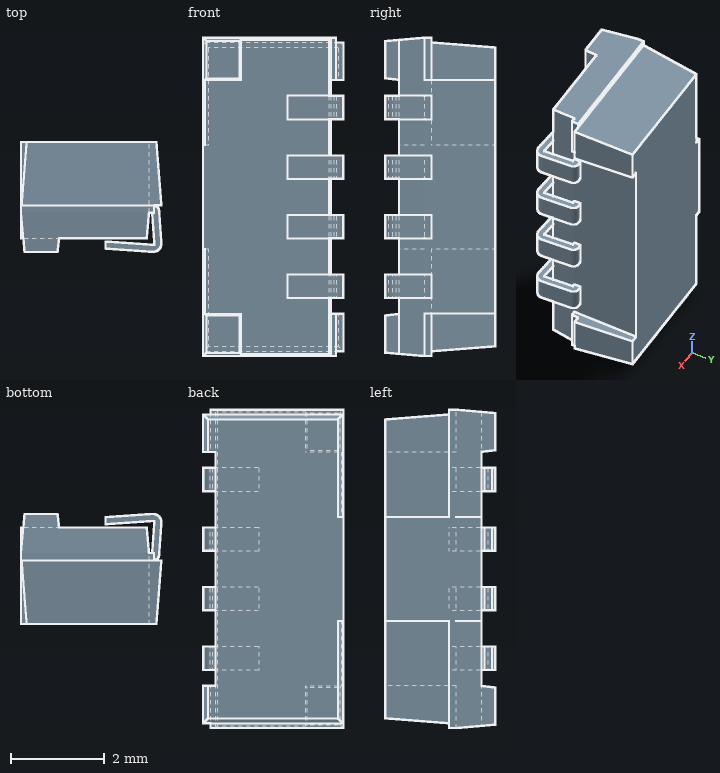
import cadquery as cq
import math

WIDTH = 3.0
DEPTH = 2.35
HEIGHT = 6.8

FACE_Y = 0.29
FLANGE_FRONT_Y = 0.835
FLANGE_BACK_Y = 0.99

FLANGE_RIGHT = 2.84
FRONT_RIGHT = 2.735
BACK_LEFT = 0.015
BACK_STEP = 0.1
DRAFT_BACK = math.tan(math.radians(4.5))
DRAFT_FRONT = math.tan(math.radians(5))
NOTCH_HEIGHT = 4.985
BOSS_HEIGHT = 2.22

FOOT_RIGHT = 0.815
FOOT_INNER_Z = 2.495
FOOT_INNER_DRAFT = 0.035

LEAD_COUNT = 4
LEAD_PITCH = 1.27
LEAD_WIDTH = 0.5
LEAD_THICKNESS = FLANGE_BACK_Y - FLANGE_FRONT_Y
LEAD_TIP_X = 1.8
LEAD_LEAN = math.radians(4)
LEAD_BEND = 0.185
LEAD_SHOULDER = 0.12


def tapered_block(start_y, start, end_y, end):
    """Loft along Y between rectangles given as (left, right, bottom, top)."""
    block = cq.Workplane("XZ", origin=(0, start_y, 0))
    for step, (left, right, bottom, top) in ((0, start), (start_y - end_y, end)):
        block = block.workplane(offset=step)
        block = block.polyline([(left, bottom), (right, bottom), (right, top), (left, top)]).close()
    return block.loft(ruled=True)


def box(left, right, front, back, bottom, top):
    size = (right - left, back - front, top - bottom)
    return cq.Workplane("XY", origin=(left, front, bottom)).box(*size, centered=False)


def front_outline(y):
    """Drafted outline of the front half at depth y."""
    inset = (FLANGE_FRONT_Y - y) * DRAFT_FRONT
    half = HEIGHT / 2 - inset
    return inset, FRONT_RIGHT - inset, -half, half


def make_foot():
    """Upper foot, continuing the draft of the front half."""
    left, _, _, top = front_outline(FACE_Y)
    tip_left, _, _, tip_top = front_outline(0)
    root = (left, FOOT_RIGHT, FOOT_INNER_Z, top)
    tip = (tip_left, FOOT_RIGHT - FOOT_INNER_DRAFT, FOOT_INNER_Z + FOOT_INNER_DRAFT, tip_top)
    return tapered_block(FACE_Y, root, 0, tip)


def make_housing():
    half = HEIGHT / 2
    flange = box(0, FLANGE_RIGHT, FLANGE_FRONT_Y, FLANGE_BACK_Y, -half, half)
    front = tapered_block(FLANGE_FRONT_Y, front_outline(FLANGE_FRONT_Y), FACE_Y, front_outline(FACE_Y))

    back_half = half - BACK_STEP
    inset = (DEPTH - FLANGE_BACK_Y) * DRAFT_BACK
    base = (BACK_LEFT, WIDTH, -back_half, back_half)
    rear = (BACK_LEFT + inset, WIDTH - inset, inset - back_half, back_half - inset)
    back = tapered_block(FLANGE_BACK_Y, base, DEPTH, rear)

    boss = box(0, FRONT_RIGHT / 2, FACE_Y, DEPTH, -BOSS_HEIGHT / 2, BOSS_HEIGHT / 2)
    notch = box(FRONT_RIGHT, WIDTH, 0, DEPTH, -NOTCH_HEIGHT / 2, NOTCH_HEIGHT / 2)
    foot = make_foot()
    housing = flange.union(front).union(back).union(boss)
    return housing.union(foot).union(foot.mirror("XY")).cut(notch)


def make_lead(z):
    """Bent strip: out of the notch wall, forward, then back under the housing."""
    lean = math.tan(LEAD_LEAN)
    leg = LEAD_THICKNESS / math.cos(LEAD_LEAN)
    overshoot = LEAD_BEND / (math.cos(LEAD_LEAN) * (1 - lean)) - LEAD_BEND
    heel_x = WIDTH + overshoot
    heel_y = -overshoot
    shoulder_x = heel_x - (FLANGE_BACK_Y - heel_y) * lean
    inner_shoulder_x = heel_x - leg - (FLANGE_FRONT_Y - heel_y) * lean
    inner_heel_offset = leg / (1 - lean)
    tip_y = heel_y + (heel_x - LEAD_TIP_X) * lean
    points = [
        (FRONT_RIGHT, FLANGE_BACK_Y),
        (FRONT_RIGHT, FLANGE_FRONT_Y),
        (inner_shoulder_x, FLANGE_FRONT_Y),
        (heel_x - inner_heel_offset, heel_y + inner_heel_offset),
        (LEAD_TIP_X, tip_y + leg),
        (LEAD_TIP_X, tip_y),
        (heel_x, heel_y),
        (shoulder_x, FLANGE_BACK_Y),
    ]
    strip = cq.Workplane("XY", origin=(0, 0, z - LEAD_WIDTH / 2)).polyline(points).close()
    strip = strip.extrude(LEAD_WIDTH)
    heel = cq.selectors.NearestToPointSelector((heel_x, heel_y, z))
    strip = strip.edges(heel).fillet(LEAD_BEND)
    shoulder = cq.selectors.NearestToPointSelector((shoulder_x, FLANGE_BACK_Y, z))
    return strip.edges(shoulder).fillet(LEAD_SHOULDER)


housing = make_housing()
lead_places = [(i - (LEAD_COUNT - 1) / 2) * LEAD_PITCH for i in range(LEAD_COUNT)]
leads = [make_lead(z) for z in lead_places]
result = cq.Compound.makeCompound([housing.val(), *[lead.val() for lead in leads]])